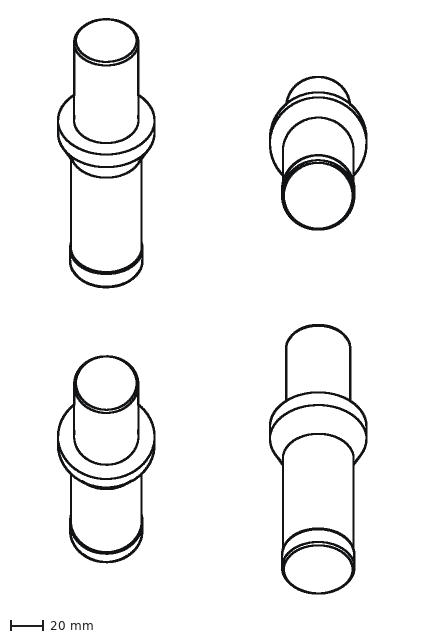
import cadquery as cq

total_height = 195.0

tip_diameter = 45.0
tip_height = 14.0
tip_bottom_chamfer_height = 1.8
tip_bottom_chamfer_width = 1.2

shaft_diameter = 44.0
flange_diameter = 60.0
shank_diameter = 40.0
shank_length = 70.0
flange_height = 11.1
cone_height = 17.2
shank_chamfer_height = 2.0
shank_chamfer_width = 1.2

tip_top_chamfer_height = 1.2
tip_top_chamfer_width = (tip_diameter - shaft_diameter) / 2

flange_top = total_height - shank_length
flange_bottom = flange_top - flange_height
cone_bottom = flange_bottom - cone_height


def revolve_profile(points):
    """Revolve a closed (radius, height) profile about the Z axis."""
    return cq.Workplane("XZ").polyline(points).close().revolve(360, (0, 0, 0), (0, 1, 0))


def make_tip():
    """Short cylinder with a chamfer at each end."""
    radius = tip_diameter / 2
    return revolve_profile([
        (0, 0),
        (radius - tip_bottom_chamfer_width, 0),
        (radius, tip_bottom_chamfer_height),
        (radius, tip_height - tip_top_chamfer_height),
        (radius - tip_top_chamfer_width, tip_height),
        (0, tip_height),
    ])


def make_holder():
    """Shaft standing on the tip, widening through a cone to the flange and carrying the shank."""
    shaft_radius = shaft_diameter / 2
    flange_radius = flange_diameter / 2
    shank_radius = shank_diameter / 2
    return revolve_profile([
        (0, tip_height),
        (shaft_radius, tip_height),
        (shaft_radius, cone_bottom),
        (flange_radius, flange_bottom),
        (flange_radius, flange_top),
        (shank_radius, flange_top),
        (shank_radius, total_height - shank_chamfer_height),
        (shank_radius - shank_chamfer_width, total_height),
        (0, total_height),
    ])


tip = make_tip()
holder = make_holder()

result = cq.Compound.makeCompound([tip.val(), holder.val()])